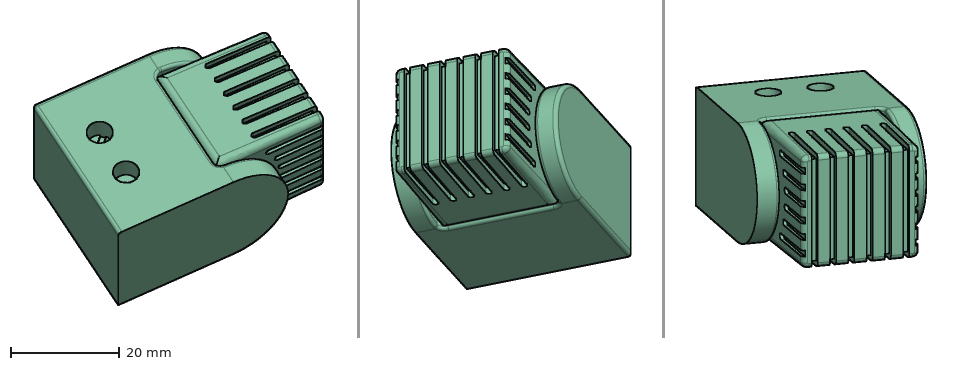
import cadquery as cq
import math

body_width = 33.15
body_height = 23.0
arm_radius = body_height / 2
arm_centre_y = 24.2
body_fillet = 0.8

gap_width = 24.25
gap_floor_y = 23.12
gap_corner_radius = 1.55
gap_fillet = 0.65
selection_margin = 0.005

grip_end_y = 46.25
grip_root_width = 23.45
grip_root_height = 22.8
grip_end_width = 22.75
grip_end_height = 21.7
grip_flat_width = 20.15
grip_flat_height = 19.5
grip_root_fillet = 1.55
grip_end_fillet = 0.95

groove_width = 1.15
groove_count = 6
face_groove_pitch = 3.55
face_groove_tip_y = 32.25
face_groove_depth = 1.0
side_groove_pitch = 3.2
side_groove_tips_y = (36.45, 35.65, 33.8)
side_groove_depth = 0.6

screw_spacing = 10.18
screw_y = 7.9
screw_hole_diameter = 4.85
screw_hole_depth = 5.55
screw_head_diameter = 4.62
screw_head_height = 1.4
screw_slot_width = 1.1
screw_slot_depth = 0.55
screw_slot_angles = (-45, 60)


def make_body():
    """Block with a half-round back, rounded on its left rim and its top front edge."""
    block = (
        cq.Workplane("YZ")
        .moveTo(0, -body_height / 2)
        .lineTo(arm_centre_y, -body_height / 2)
        .threePointArc((arm_centre_y + arm_radius, 0), (arm_centre_y, body_height / 2))
        .lineTo(0, body_height / 2)
        .close()
        .extrude(body_width / 2, both=True)
    )
    left_rim = block.faces("<X").edges()
    top_front_edge = block.faces("<Y").edges(">Z")
    return left_rim.add(top_front_edge).fillet(body_fillet)


def cut_gap(body):
    """Round-cornered gap between the arms, with its rims rounded."""
    gap_length = arm_centre_y + arm_radius - gap_floor_y + gap_corner_radius
    gap = (
        cq.Workplane("XY")
        .box(gap_width, gap_length, 2 * body_height, centered=(True, False, True))
        .edges("|Z and <Y")
        .fillet(gap_corner_radius)
        .translate((0, gap_floor_y, 0))
    )
    cut_body = body.cut(gap)
    rim_zone = cq.selectors.BoxSelector(
        (-gap_width / 2 - selection_margin, gap_floor_y - selection_margin, -body_height),
        (gap_width / 2 + selection_margin, grip_end_y, body_height),
        boundingbox=True,
    )
    upright_edges = cq.selectors.ParallelDirSelector(cq.Vector(0, 0, 1))
    return cut_body.edges(rim_zone - upright_edges).fillet(gap_fillet)


def grip_section(y, width, height):
    """Rectangle with rounded corners; its flats keep the same length along the grip."""
    x, z = width / 2, height / 2
    flat_x, flat_z = grip_flat_width / 2, grip_flat_height / 2
    mid_x = flat_x + (x - flat_x) * math.cos(math.pi / 4)
    mid_z = flat_z + (z - flat_z) * math.sin(math.pi / 4)
    return (
        cq.Workplane("XZ", origin=(0, y, 0))
        .moveTo(-flat_x, z)
        .lineTo(flat_x, z)
        .threePointArc((mid_x, mid_z), (x, flat_z))
        .lineTo(x, -flat_z)
        .threePointArc((mid_x, -mid_z), (flat_x, -z))
        .lineTo(-flat_x, -z)
        .threePointArc((-mid_x, -mid_z), (-x, -flat_z))
        .lineTo(-x, flat_z)
        .threePointArc((-mid_x, mid_z), (-flat_x, z))
        .close()
        .val()
    )


def make_grip():
    """Tapered grip, rounded at its free end and along the top and bottom of its root."""
    root = grip_section(gap_floor_y, grip_root_width, grip_root_height)
    end = grip_section(grip_end_y, grip_end_width, grip_end_height)
    grip = cq.Workplane(cq.Solid.makeLoft([root, end], True))
    grip = grip.faces(">Y").edges().fillet(grip_end_fillet)

    taper_angle = math.atan2((grip_root_height - grip_end_height) / 2, grip_end_y - gap_floor_y)
    corner_drop = grip_root_fillet * (1 + math.sin(taper_angle)) / math.cos(taper_angle)
    arc_start_z = grip_root_height / 2 - corner_drop
    arc_end_y = gap_floor_y + grip_root_fillet * (1 + math.sin(taper_angle))
    arc_end_z = arc_start_z + grip_root_fillet * math.cos(taper_angle)
    corner_waste = (
        cq.Workplane("YZ")
        .moveTo(gap_floor_y, arc_start_z)
        .radiusArc((arc_end_y, arc_end_z), grip_root_fillet)
        .lineTo(arc_end_y, body_height)
        .lineTo(0, body_height)
        .lineTo(0, arc_start_z)
        .close()
        .extrude(grip_root_width, both=True)
    )
    return grip.cut(corner_waste).cut(corner_waste.mirror("XY"))


def groove_tool(tip_y, depth):
    """Upright cutter lying along Y, with a round tip, reaching depth below and above Z = 0."""
    return (
        cq.Workplane("XY", origin=(0, 0, -depth))
        .moveTo(-groove_width / 2, grip_end_y)
        .lineTo(-groove_width / 2, tip_y + groove_width / 2)
        .threePointArc((0, tip_y), (groove_width / 2, tip_y + groove_width / 2))
        .lineTo(groove_width / 2, grip_end_y)
        .close()
        .extrude(2 * depth)
    )


def groove_offsets(pitch):
    middle = (groove_count - 1) / 2
    return [(index - middle) * pitch for index in range(groove_count)]


def cut_face_grooves(grip):
    """Grooves along the top and bottom that join up across the end of the grip."""
    tool = groove_tool(face_groove_tip_y, face_groove_depth)
    top_tool = tool.translate((0, 0, grip_end_height / 2))
    end_tool = cq.Workplane("XY").box(groove_width, 2 * face_groove_depth, grip_end_height)
    end_tool = end_tool.translate((0, grip_end_y, 0))
    wrap_tool = top_tool.union(end_tool).union(top_tool.mirror("XY"))
    for x in groove_offsets(face_groove_pitch):
        grip = grip.cut(wrap_tool.translate((x, 0, 0)))
    return grip


def cut_side_grooves(grip):
    """Grooves along both sides, longer towards the middle of the height."""
    tips_y = side_groove_tips_y[::-1] + side_groove_tips_y
    for z, tip_y in zip(groove_offsets(side_groove_pitch), tips_y):
        tool = groove_tool(tip_y, side_groove_depth).rotate((0, 0, 0), (0, 1, 0), 90)
        tool = tool.translate((grip_end_width / 2, 0, z))
        grip = grip.cut(tool).cut(tool.mirror("YZ"))
    return grip


def sink_screws(body):
    """Two slotted screw heads standing at the bottom of deep round holes."""
    floor_z = body_height / 2 - screw_hole_depth
    for side, slot_angle in zip((-1, 1), screw_slot_angles):
        centre = (side * screw_spacing / 2, screw_y, floor_z)
        hole = cq.Workplane("XY", origin=centre).circle(screw_hole_diameter / 2).extrude(screw_hole_depth)
        slot = (
            cq.Workplane("XY", origin=(0, 0, screw_head_height - screw_slot_depth))
            .rect(screw_hole_diameter, screw_slot_width)
            .extrude(screw_slot_depth)
            .rotate((0, 0, 0), (0, 0, 1), slot_angle)
        )
        head = cq.Workplane("XY").circle(screw_head_diameter / 2).extrude(screw_head_height).cut(slot)
        body = body.cut(hole).union(head.translate(centre))
    return body


body = sink_screws(cut_gap(make_body()))
grip = cut_side_grooves(cut_face_grooves(make_grip()))
result = body.union(grip)